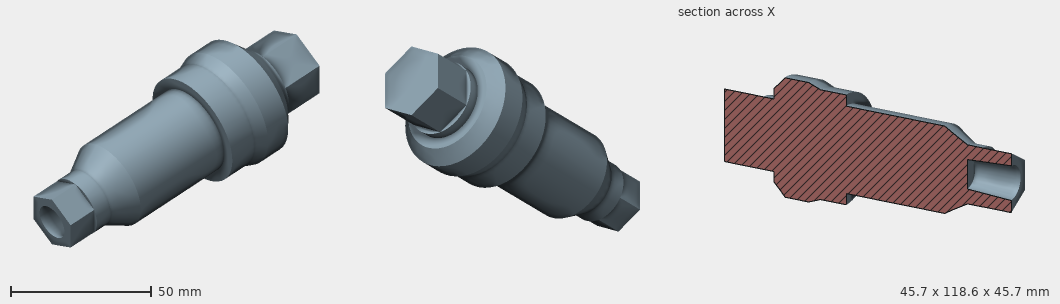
import cadquery as cq
import math

front_hex_end = 11.4
front_neck_end = 18.1
front_cone_end = 27.6
barrel_end = 68.1
collar_end = 78.9
collar_cone_end = 83.7
flange_end = 93.5
rear_cone_end = 98.1
rear_neck_end = 102.1
total_length = 118.6

front_neck_diameter = 22.7
barrel_diameter = 33.5
collar_diameter = 42.0
flange_diameter = 45.7
rear_cone_diameter = 35.7
rear_neck_diameter = 27.8
bore_mouth_diameter = 13.0
bore_floor_diameter = 11.0
bore_depth = front_neck_end

front_hex_flats = 19.6
rear_hex_flats = 24.1


def turned_body():
    """Stepped and tapered body revolved about the Y axis."""
    stations = [
        (front_neck_diameter, front_hex_end),
        (front_neck_diameter, front_neck_end),
        (barrel_diameter, front_cone_end),
        (barrel_diameter, barrel_end),
        (collar_diameter, barrel_end),
        (collar_diameter, collar_end),
        (flange_diameter, collar_cone_end),
        (flange_diameter, flange_end),
        (rear_cone_diameter, rear_cone_end),
        (rear_neck_diameter, rear_cone_end),
        (rear_neck_diameter, rear_neck_end),
    ]
    profile = cq.Workplane("XY").moveTo(0, front_hex_end)
    for diameter, y in stations:
        profile = profile.lineTo(diameter / 2, y)
    profile = profile.lineTo(0, rear_neck_end).close()
    return profile.revolve(360, (0, 0, 0), (0, 1, 0))


def cross_section(y):
    """Workplane at station y whose normal points towards the rear (+Y)."""
    return cq.Workplane(cq.Plane(origin=(0, y, 0), xDir=(0, 0, 1), normal=(0, 1, 0)))


def hexagon(flats, start, end):
    """Hexagonal prism along Y with two corners on the Z axis."""
    corner_diameter = flats / math.cos(math.pi / 6)
    return cross_section(start).polygon(6, corner_diameter).extrude(end - start)


def tapered_bore():
    """Blind hole in the front end, narrowing evenly to a flat floor."""
    mouth = cross_section(0).circle(bore_mouth_diameter / 2)
    return mouth.workplane(offset=bore_depth).circle(bore_floor_diameter / 2).loft(ruled=True)


front_hex = hexagon(front_hex_flats, 0, front_hex_end)
rear_hex = hexagon(rear_hex_flats, rear_neck_end, total_length)
bore = tapered_bore()

result = turned_body().union(front_hex).union(rear_hex).cut(bore)